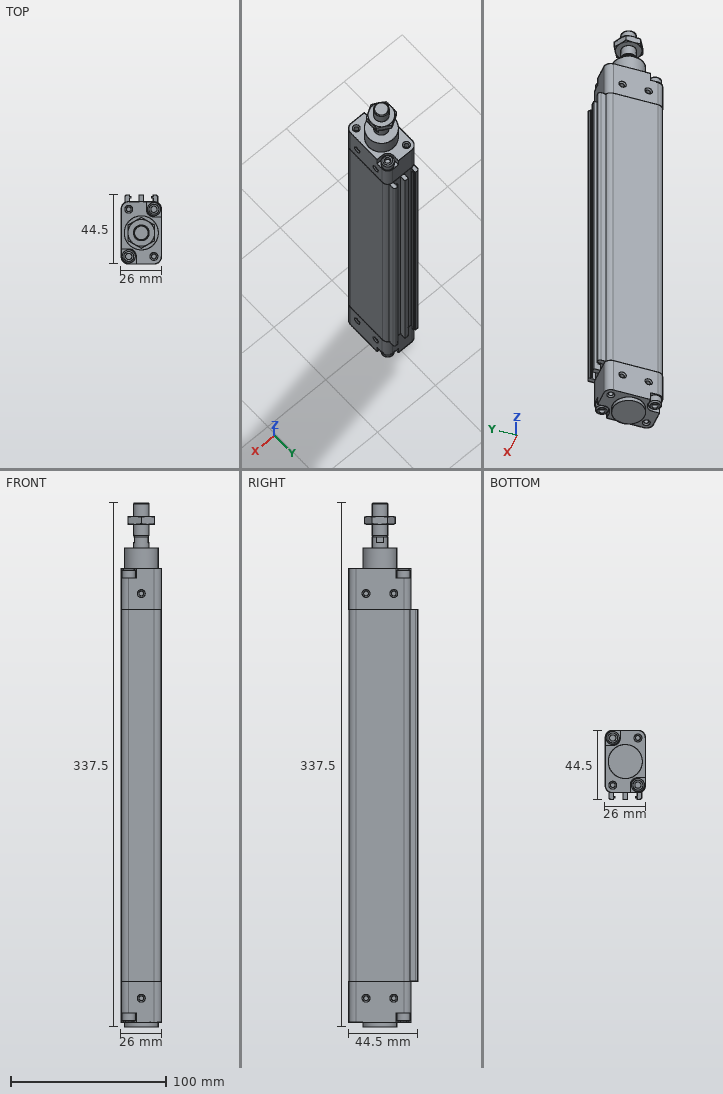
import cadquery as cq
import math

LENGTH = 337.5
TIP_Z = LENGTH / 2
SPIGOT_LENGTH = 3.0
CAP_LENGTH = 26.3
FRONT_FACE_Z = 126.5
REAR_FACE_Z = -TIP_Z + SPIGOT_LENGTH
BARREL_TOP_Z = FRONT_FACE_Z - CAP_LENGTH
BARREL_BOTTOM_Z = REAR_FACE_Z + CAP_LENGTH

WIDTH = 26.0
TOTAL_DEPTH = 44.5
BODY_DEPTH = 40.0
CORNER_RADIUS = 4.7
BARREL_INSET = 0.07
FRONT_Y = -TOTAL_DEPTH / 2
BACK_Y = FRONT_Y + BODY_DEPTH
AXIS_Y = FRONT_Y + BODY_DEPTH / 2

COLLAR_DIAMETER = 22.0
COLLAR_LENGTH = 13.0

RAIL_WIDTH = 3.0
RAIL_SPACING = 9.0
RAIL_HEIGHT = TOTAL_DEPTH - BODY_DEPTH
HOOK_REACH = 1.0
HOOK_HEIGHT = 1.0
HOOK_TOP_GAP = 1.0

CORNER_X = 8.0
CORNER_Y = 15.2
HEAD_DIAMETER = 8.5
HEAD_HEIGHT = 5.7
SOCKET_DIAMETER = 4.0
SOCKET_DEPTH = 2.7
HEAD_CHAMFER = 1.0
POCKET_DIAMETER = 9.8
POCKET_DEPTH = 6.0
COUNTERSINK_DIAMETER = 5.0
HOLE_CORE_DIAMETER = 3.1
HOLE_DEPTH = 6.8

FRONT_CROSS_HOLE_OFFSET = 16.2
REAR_CROSS_HOLE_OFFSET = 15.5
SIDE_HOLE_SPACING = 18.0
COUNTERSINK_DEPTH = (COUNTERSINK_DIAMETER - HOLE_CORE_DIAMETER) / 2

ROD_DIAMETER = 10.0
ROD_TIP_CHAMFER = 0.7
GROOVE_DIAMETER = 9.5
GROOVE_WIDTH = 1.0
GROOVE_TOP_Z = 147.8
FLAT_DISTANCE = 9.0
FLAT_LENGTH = 3.7
FLAT_TOP_Z = GROOVE_TOP_Z - GROOVE_WIDTH

HEX_SIDES = 6
NUT_ACROSS_FLATS = 17.2
NUT_THICKNESS = 5.0
NUT_BOTTOM_Z = 155.0
NUT_CHAMFER_DEGREES = 20


def cylinder(diameter, bottom_z, height, x=0.0, y=AXIS_Y):
    return cq.Workplane("XY", origin=(x, y, bottom_z)).circle(diameter / 2).extrude(height)


def rounded_block(bottom_z, top_z, inset=0.0):
    """Rounded rectangular length of housing, set in on every side from the cap outline."""
    return (
        cq.Workplane("XY", origin=(0, AXIS_Y, bottom_z))
        .rect(WIDTH - 2 * inset, BODY_DEPTH - 2 * inset)
        .extrude(top_z - bottom_z)
        .edges("|Z")
        .fillet(CORNER_RADIUS - inset)
    )


def make_rail(x, hook_side):
    """Upright rail; hook_side -1 or 1 rounds its far top corner and adds a hook on that side."""
    radius = RAIL_WIDTH / 2
    top_y = BACK_Y + RAIL_HEIGHT
    length = BARREL_TOP_Z - BARREL_BOTTOM_Z
    rail = (
        cq.Workplane("XY", origin=(x, (AXIS_Y + top_y) / 2, BARREL_BOTTOM_Z))
        .rect(RAIL_WIDTH, top_y - AXIS_Y)
        .extrude(length)
    )
    if hook_side == 0:
        return rail
    outer_edge = "<X" if hook_side > 0 else ">X"
    rail = rail.edges("|Z and >Y").edges(outer_edge).fillet(radius)
    hook_length = radius + HOOK_REACH
    hook_x = x + hook_side * hook_length / 2
    hook_y = top_y - HOOK_TOP_GAP - HOOK_HEIGHT / 2
    hook = (
        cq.Workplane("XY", origin=(hook_x, hook_y, BARREL_BOTTOM_Z))
        .rect(hook_length, HOOK_HEIGHT)
        .extrude(length)
    )
    return rail.union(hook)


def countersunk_hole(point, direction):
    """Cutting tool for a blind hole with a small entry countersink."""
    start = cq.Vector(*point)
    inward = cq.Vector(*direction)
    core = cq.Solid.makeCylinder(HOLE_CORE_DIAMETER / 2, HOLE_DEPTH, start, inward)
    entry = cq.Solid.makeCone(
        COUNTERSINK_DIAMETER / 2, HOLE_CORE_DIAMETER / 2, COUNTERSINK_DEPTH, start, inward
    )
    return cq.Workplane(core.fuse(entry))


def corner_pocket(side, floor_z):
    """Round pocket opened out to both faces of the corner at (side, side)."""
    x = side * CORNER_X
    y = AXIS_Y + side * CORNER_Y
    reach = POCKET_DIAMETER
    plane = cq.Workplane("XY", origin=(x, y, floor_z))
    side_opening = plane.center(side * reach / 2, 0).rect(reach, POCKET_DIAMETER).extrude(POCKET_DEPTH)
    plane = cq.Workplane("XY", origin=(x, y, floor_z))
    end_opening = plane.center(0, side * reach / 2).rect(POCKET_DIAMETER, reach).extrude(POCKET_DEPTH)
    return cylinder(POCKET_DIAMETER, floor_z, POCKET_DEPTH, x, y).union(side_opening).union(end_opening)


def finish_cap(housing, face_z, outward, cross_hole_offset):
    """Add corner screws, end holes and cross holes to one cap; outward is +1 or -1 along Z."""
    floor_z = face_z - outward * POCKET_DEPTH
    for side in (-1, 1):
        x = side * CORNER_X
        y = AXIS_Y + side * CORNER_Y
        housing = housing.cut(corner_pocket(side, min(floor_z, face_z)))
        head = cylinder(HEAD_DIAMETER, floor_z, outward * HEAD_HEIGHT, x, y)
        head = head.faces(">Z" if outward > 0 else "<Z").chamfer(HEAD_CHAMFER)
        socket_floor = floor_z + outward * (HEAD_HEIGHT - SOCKET_DEPTH)
        socket = cylinder(SOCKET_DIAMETER, socket_floor, outward * SOCKET_DEPTH, x, y)
        housing = housing.union(head).cut(socket)
        end_hole = countersunk_hole((x, AXIS_Y - side * CORNER_Y, face_z), (0, 0, -outward))
        housing = housing.cut(end_hole)

    hole_z = face_z - outward * cross_hole_offset
    housing = housing.cut(countersunk_hole((0, FRONT_Y, hole_z), (0, 1, 0)))
    for side in (-1, 1):
        for y in (AXIS_Y - SIDE_HOLE_SPACING / 2, AXIS_Y + SIDE_HOLE_SPACING / 2):
            side_hole = countersunk_hole((side * WIDTH / 2, y, hole_z), (-side, 0, 0))
            housing = housing.cut(side_hole)
    return housing


def make_housing():
    front_cap = rounded_block(BARREL_TOP_Z, FRONT_FACE_Z)
    rear_cap = rounded_block(REAR_FACE_Z, BARREL_BOTTOM_Z)
    barrel = rounded_block(BARREL_BOTTOM_Z, BARREL_TOP_Z, BARREL_INSET)
    housing = barrel.union(front_cap).union(rear_cap)
    housing = housing.union(cylinder(COLLAR_DIAMETER, FRONT_FACE_Z, COLLAR_LENGTH))
    housing = housing.union(cylinder(COLLAR_DIAMETER, -TIP_Z, SPIGOT_LENGTH))
    for position in (-1, 0, 1):
        housing = housing.union(make_rail(position * RAIL_SPACING, -position))
    housing = finish_cap(housing, FRONT_FACE_Z, 1, FRONT_CROSS_HOLE_OFFSET)
    housing = finish_cap(housing, REAR_FACE_Z, -1, REAR_CROSS_HOLE_OFFSET)
    return housing.cut(cylinder(ROD_DIAMETER, FRONT_FACE_Z, COLLAR_LENGTH))


def make_rod():
    """Rod seated in the collar, with a thread runout groove and two wrench flats."""
    rod = cylinder(ROD_DIAMETER, FRONT_FACE_Z, TIP_Z - FRONT_FACE_Z)
    rod = rod.faces(">Z").chamfer(ROD_TIP_CHAMFER)
    groove_z = GROOVE_TOP_Z - GROOVE_WIDTH
    groove = cylinder(ROD_DIAMETER, groove_z, GROOVE_WIDTH).cut(
        cylinder(GROOVE_DIAMETER, groove_z, GROOVE_WIDTH)
    )
    rod = rod.cut(groove)
    for side in (-1, 1):
        flat_x = side * (FLAT_DISTANCE + ROD_DIAMETER) / 2
        flat = cq.Workplane("XY", origin=(flat_x, AXIS_Y, FLAT_TOP_Z - FLAT_LENGTH / 2)).box(
            ROD_DIAMETER, ROD_DIAMETER, FLAT_LENGTH
        )
        rod = rod.cut(flat)
    return rod


def make_nut():
    """Hexagon nut with two corners along Y and both ends chamfered."""
    corner_diameter = NUT_ACROSS_FLATS / math.cos(math.pi / HEX_SIDES)
    flat_radius = NUT_ACROSS_FLATS / 2
    corner_radius = corner_diameter / 2
    drop = (corner_radius - flat_radius) * math.tan(math.radians(NUT_CHAMFER_DEGREES))
    hexagon = (
        cq.Workplane("XY", origin=(0, AXIS_Y, NUT_BOTTOM_Z))
        .transformed(rotate=(0, 0, 90))
        .polygon(HEX_SIDES, corner_diameter)
        .extrude(NUT_THICKNESS)
    )
    envelope = (
        cq.Workplane("XZ", origin=(0, AXIS_Y, NUT_BOTTOM_Z))
        .moveTo(0, 0)
        .lineTo(flat_radius, 0)
        .lineTo(corner_radius, drop)
        .lineTo(corner_radius, NUT_THICKNESS - drop)
        .lineTo(flat_radius, NUT_THICKNESS)
        .lineTo(0, NUT_THICKNESS)
        .close()
        .revolve(360, (0, 0, 0), (0, 1, 0))
    )
    bore = cylinder(ROD_DIAMETER, NUT_BOTTOM_Z, NUT_THICKNESS)
    return hexagon.intersect(envelope).cut(bore)


housing = make_housing()
rod = make_rod()
nut = make_nut()

result = cq.Compound.makeCompound([housing.val(), rod.val(), nut.val()])